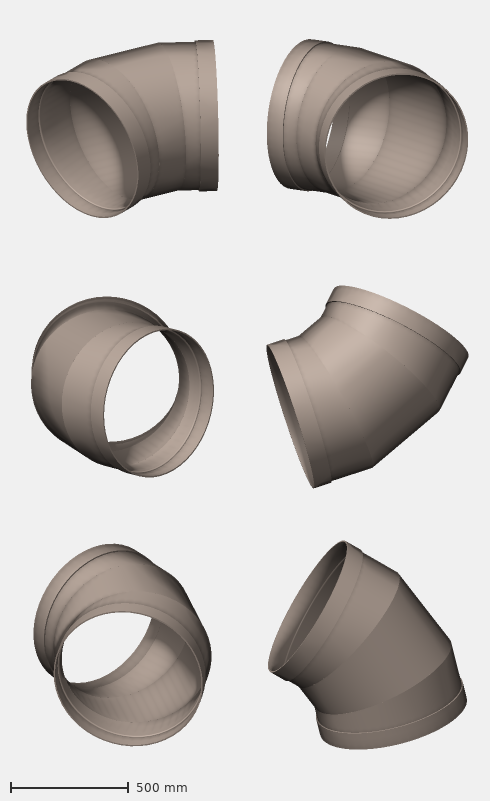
import cadquery as cq
import math

PIPE_OUTER_DIAMETER = 630.0
PIPE_INNER_DIAMETER = 618.0
SOCKET_OUTER_DIAMETER = 642.0
SOCKET_LENGTH = 76.0
BEND_RADIUS = 630.0
BEND_ANGLE = 45.0
MITRE_COUNT = 2

pipe_outer_radius = PIPE_OUTER_DIAMETER / 2
pipe_inner_radius = PIPE_INNER_DIAMETER / 2
socket_outer_radius = SOCKET_OUTER_DIAMETER / 2
socket_bore_radius = pipe_outer_radius
round_radius = socket_bore_radius - pipe_inner_radius

turn_angle = BEND_ANGLE / MITRE_COUNT
half_turn = math.radians(turn_angle / 2)
tangent_length = BEND_RADIUS * math.tan(half_turn)
mitre_reach = socket_outer_radius * math.tan(half_turn)


def axis_direction(angle):
    """Unit vector in the XY plane, turned by angle from +Y toward +X."""
    return cq.Vector(math.sin(math.radians(angle)), math.cos(math.radians(angle)), 0)


def section_plane(center, angle):
    """Plane across the axis at center, with its normal along axis_direction(angle)."""
    return cq.Plane(origin=center, xDir=cq.Vector(0, 0, 1), normal=axis_direction(angle))


def half_space(center, angle):
    """Block large enough to hold everything ahead of the section plane at center."""
    size = 4 * BEND_RADIUS
    return cq.Workplane(section_plane(center, angle)).rect(size, size).extrude(size)


start = cq.Vector(0, SOCKET_LENGTH, 0)
first_mitre = start + axis_direction(0) * tangent_length
second_mitre = first_mitre + axis_direction(turn_angle) * (2 * tangent_length)
end = second_mitre + axis_direction(BEND_ANGLE) * tangent_length

beyond_first_mitre = half_space(first_mitre, turn_angle / 2)
beyond_second_mitre = half_space(second_mitre, BEND_ANGLE - turn_angle / 2)


def make_socket_tube(joint, outward_angle):
    """Square-ended tube with a socket that runs from joint along outward_angle."""
    pipe_back = -(tangent_length + mitre_reach)
    arc_offset = round_radius * math.sqrt(0.5)
    section = (
        cq.Workplane("XY")
        .moveTo(pipe_inner_radius, pipe_back)
        .lineTo(pipe_outer_radius, pipe_back)
        .lineTo(pipe_outer_radius, 0)
        .lineTo(socket_outer_radius, 0)
        .lineTo(socket_outer_radius, SOCKET_LENGTH)
        .lineTo(socket_bore_radius, SOCKET_LENGTH)
        .lineTo(socket_bore_radius, round_radius)
        .threePointArc(
            (socket_bore_radius - arc_offset, arc_offset),
            (pipe_inner_radius, 0),
        )
        .close()
    )
    tube = section.revolve(360, (0, 0, 0), (0, 1, 0))
    return tube.rotate((0, 0, 0), (0, 0, 1), -outward_angle).translate(joint)


def make_middle_segment():
    """Plain tube cut by both mitre planes."""
    tube_start = first_mitre - axis_direction(turn_angle) * mitre_reach
    tube = (
        cq.Workplane(section_plane(tube_start, turn_angle))
        .circle(pipe_outer_radius)
        .circle(pipe_inner_radius)
        .extrude(2 * (tangent_length + mitre_reach))
    )
    return tube.intersect(beyond_first_mitre).cut(beyond_second_mitre)


start_segment = make_socket_tube(start, 180).cut(beyond_first_mitre)
middle_segment = make_middle_segment()
end_segment = make_socket_tube(end, BEND_ANGLE).intersect(beyond_second_mitre)

segments = [start_segment, middle_segment, end_segment]
result = cq.Compound.makeCompound([segment.solids().val() for segment in segments])